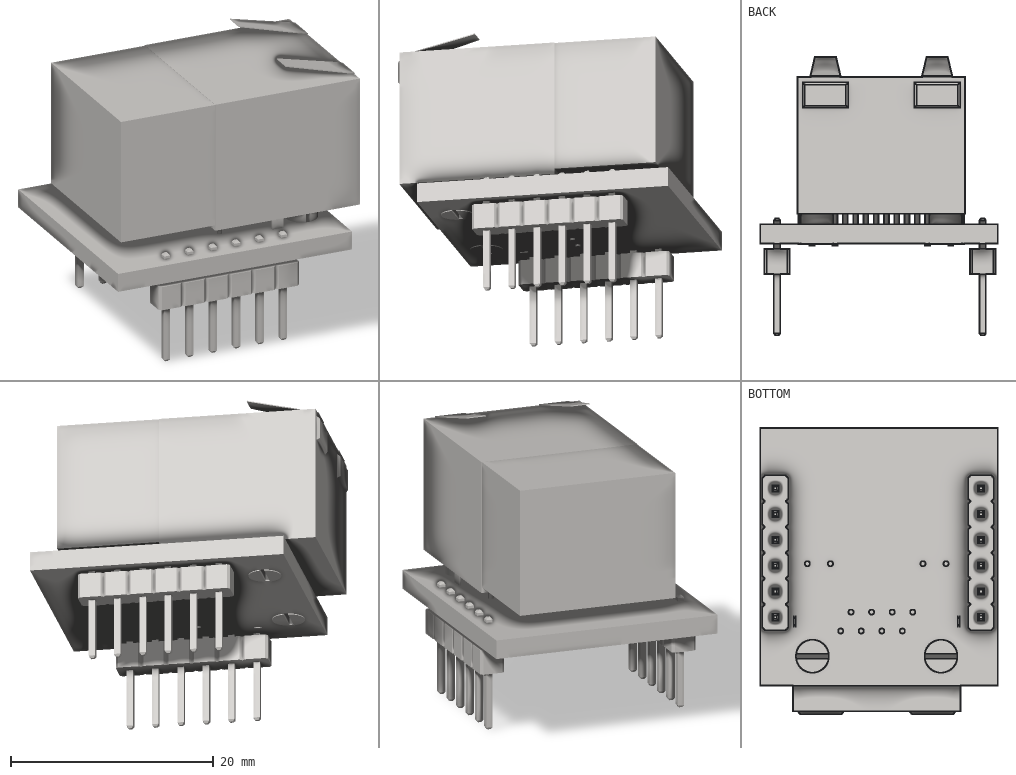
import cadquery as cq
import math

BOARD_WIDTH = 23.5
BOARD_LENGTH = 25.47
BOARD_THICKNESS = 1.92
BOARD_BACK = BOARD_LENGTH / 2
BOARD_FRONT = -BOARD_BACK
BOARD_BOTTOM = -BOARD_THICKNESS

HEADER_PINS = 6
HEADER_PITCH = 2.55
HEADER_SPACING = 20.32
HEADERS_CENTER_X = -0.08
HEADERS_CENTER_Y = -0.4
HEADER_TOP = -2.45
HEADER_HEIGHT = 2.5
HEADER_CORNER = 0.25
HEADER_PIN_SIDE = 0.65
HEADER_PIN_TOP = 0.57
HEADER_PIN_BOTTOM = -11.0
HEADER_PIN_TIP_HEIGHT = 0.23
HEADER_PIN_TIP_INSET = 0.17

JACK_CENTER_X = -0.23
JACK_WIDTH = 16.58
JACK_LENGTH = 15.73
JACK_OVERHANG = 2.55
JACK_BACK = BOARD_BACK + JACK_OVERHANG
JACK_FRONT = JACK_BACK - JACK_LENGTH
JACK_BOTTOM = 1.02
JACK_TOP = 14.55
JACK_LEFT = JACK_CENTER_X - JACK_WIDTH / 2
JACK_RIGHT = JACK_CENTER_X + JACK_WIDTH / 2

BLOCK_LEFT_INSET = 0.08
BLOCK_COVER = 0.03
BLOCK_SEAT_DEPTH = 0.68
BLOCK_LENGTH = 10.92
BLOCK_BACK = JACK_FRONT + BLOCK_SEAT_DEPTH
BLOCK_FRONT = BLOCK_BACK - BLOCK_LENGTH
BLOCK_RISE = 0.57
BLOCK_BOTTOM = JACK_BOTTOM + BLOCK_RISE

POST_DIAMETER = 3.25
POST_SPACING = 12.7
POST_Y = 9.82
POST_SLOT_WIDTH = 0.45
POST_SLOT_GAP = 0.1
POST_PROTRUSION = 0.08
POST_BOTTOM = BOARD_BOTTOM - POST_PROTRUSION

CONTACT_DIAMETER = 0.5
SIGNAL_CONTACTS = 8
SIGNAL_ROWS_Y = (7.33, 5.45)
LAMP_ROW_Y = 0.68
LAMP_INNER_SPACING = 9.15
LAMP_OUTER_SPACING = 13.7
LAMP_CONTACT_PROTRUSION = 0.2
LAMP_CONTACT_BOTTOM = BOARD_BOTTOM - LAMP_CONTACT_PROTRUSION
CONTACT_PITCH = LAMP_INNER_SPACING / (SIGNAL_CONTACTS + 1)

TAB_WIDTH = 1.2
TAB_THICKNESS = 0.2
TAB_INSET = 0.08
TAB_Y = 6.4
TAB_PROTRUSION = 0.08
TAB_BOTTOM = BOARD_BOTTOM - TAB_PROTRUSION
TAB_CORNER = 0.25

SPRING_ANGLE = 14.6
SPRING_THICKNESS = 0.1
SPRING_ROOT_WIDTH = 3.0
SPRING_TIP_WIDTH = 2.1
SPRING_LENGTH = 7.53
SPRING_OVERHANG = 0.05
SPRING_TOP = 16.53

LAMP_SPACING = 11.05
LAMP_Z = 12.74
LAMP_WIDTH = 4.53
LAMP_HEIGHT = 2.52
LAMP_DEPTH = 0.28
LAMP_DRAFT = 40.0


def mirrored(center, spacing):
    """Two places at equal distances from a center."""
    return (center - spacing / 2, center + spacing / 2)


def evenly_spaced(center, count, pitch):
    """Places in a row with equal steps about a center."""
    first = center - (count - 1) / 2 * pitch
    return [first + i * pitch for i in range(count)]


POST_XS = mirrored(JACK_CENTER_X, POST_SPACING)
LAMP_XS = mirrored(JACK_CENTER_X, LAMP_SPACING)
HEADER_XS = mirrored(HEADERS_CENTER_X, HEADER_SPACING)
HEADER_PIN_YS = evenly_spaced(HEADERS_CENTER_Y, HEADER_PINS, HEADER_PITCH)
SIGNAL_XS = evenly_spaced(JACK_CENTER_X, SIGNAL_CONTACTS, CONTACT_PITCH)


def box(left, right, front, back, bottom, top):
    size = (right - left, back - front, top - bottom)
    return cq.Workplane("XY").box(*size, centered=False).translate((left, front, bottom))


def rod(x, y, diameter, bottom, top):
    return cq.Workplane("XY", origin=(x, y, bottom)).circle(diameter / 2).extrude(top - bottom)


def header_pin(x, y):
    pin = box(
        x - HEADER_PIN_SIDE / 2,
        x + HEADER_PIN_SIDE / 2,
        y - HEADER_PIN_SIDE / 2,
        y + HEADER_PIN_SIDE / 2,
        HEADER_PIN_BOTTOM,
        HEADER_PIN_TOP,
    )
    return pin.faces("<Z or >Z").chamfer(HEADER_PIN_TIP_HEIGHT, HEADER_PIN_TIP_INSET)


def make_header(x):
    header = None
    for y in HEADER_PIN_YS:
        cell = (
            cq.Workplane("XY", origin=(x, y, HEADER_TOP))
            .rect(HEADER_PITCH, HEADER_PITCH)
            .extrude(-HEADER_HEIGHT)
            .edges("|Z")
            .chamfer(HEADER_CORNER)
            .union(header_pin(x, y))
        )
        header = cell if header is None else header.union(cell)
    return header


def split_post(x):
    post = rod(x, POST_Y, POST_DIAMETER, POST_BOTTOM, JACK_BOTTOM)
    slot = box(
        x - POST_DIAMETER / 2,
        x + POST_DIAMETER / 2,
        POST_Y - POST_SLOT_WIDTH / 2,
        POST_Y + POST_SLOT_WIDTH / 2,
        POST_BOTTOM,
        JACK_BOTTOM - POST_SLOT_GAP,
    )
    return post.cut(slot)


def contact(x, y, bottom):
    return rod(x, y, CONTACT_DIAMETER, bottom, JACK_BOTTOM)


def signal_contacts():
    return [contact(x, SIGNAL_ROWS_Y[i % 2], BOARD_BOTTOM) for i, x in enumerate(SIGNAL_XS)]


def lamp_contacts():
    return [
        contact(x, LAMP_ROW_Y, LAMP_CONTACT_BOTTOM)
        for spacing in (LAMP_INNER_SPACING, LAMP_OUTER_SPACING)
        for x in mirrored(JACK_CENTER_X, spacing)
    ]


def ground_tab(left):
    tab = box(
        left,
        left + TAB_THICKNESS,
        TAB_Y - TAB_WIDTH / 2,
        TAB_Y + TAB_WIDTH / 2,
        TAB_BOTTOM,
        JACK_BOTTOM,
    )
    return tab.faces("<Z").edges("|X").chamfer(TAB_CORNER)


def ground_tabs():
    return [
        ground_tab(JACK_LEFT + TAB_INSET),
        ground_tab(JACK_RIGHT - TAB_INSET - TAB_THICKNESS),
    ]


def spring_finger(x):
    finger = (
        cq.Workplane("XY")
        .polyline(
            [
                (-SPRING_ROOT_WIDTH / 2, 0),
                (SPRING_ROOT_WIDTH / 2, 0),
                (SPRING_TIP_WIDTH / 2, -SPRING_LENGTH),
                (-SPRING_TIP_WIDTH / 2, -SPRING_LENGTH),
            ]
        )
        .close()
        .extrude(-SPRING_THICKNESS)
        .rotate((0, 0, 0), (1, 0, 0), -SPRING_ANGLE)
    )
    rise = SPRING_LENGTH * math.sin(math.radians(SPRING_ANGLE))
    return finger.translate((x, JACK_BACK + SPRING_OVERHANG, SPRING_TOP - rise))


def make_block():
    return box(
        JACK_LEFT + BLOCK_LEFT_INSET,
        JACK_RIGHT - BLOCK_COVER,
        BLOCK_FRONT,
        BLOCK_BACK,
        BLOCK_BOTTOM,
        JACK_TOP - BLOCK_COVER,
    )


def make_jack(block):
    jack = box(JACK_LEFT, JACK_RIGHT, JACK_FRONT, JACK_BACK, JACK_BOTTOM, JACK_TOP).cut(block)
    posts = [split_post(x) for x in POST_XS]
    springs = [spring_finger(x) for x in LAMP_XS]
    for piece in posts + springs + signal_contacts() + lamp_contacts() + ground_tabs():
        jack = jack.union(piece)
    return jack


def make_lamp(x):
    base = cq.Workplane("XZ", origin=(x, JACK_BACK, LAMP_Z)).rect(LAMP_WIDTH, LAMP_HEIGHT)
    return base.extrude(-LAMP_DEPTH, taper=LAMP_DRAFT)


def make_board(jack, headers):
    board = box(-BOARD_WIDTH / 2, BOARD_WIDTH / 2, BOARD_FRONT, BOARD_BACK, BOARD_BOTTOM, 0)
    for x in POST_XS:
        board = board.cut(rod(x, POST_Y, POST_DIAMETER, BOARD_BOTTOM, 0))
    for body in [jack, *headers]:
        board = board.cut(body)
    return board


block = make_block()
jack = make_jack(block)
lamps = [make_lamp(x) for x in LAMP_XS]
headers = [make_header(x) for x in HEADER_XS]
board = make_board(jack, headers)

bodies = [board, jack, block, *headers, *lamps]
result = cq.Compound.makeCompound([body.solids().val() for body in bodies])